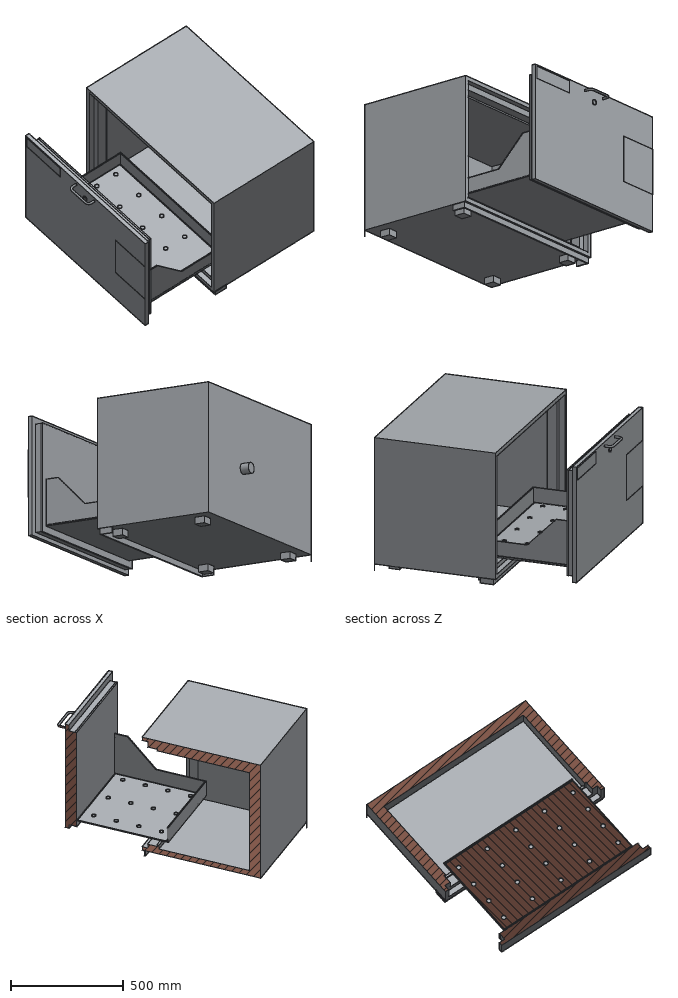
import cadquery as cq


CABINET_WIDTH = 893.0
CABINET_DEPTH = 577.0
CABINET_HEIGHT = 600.0
MID_X = CABINET_WIDTH / 2

DOOR_RECESS_MARGIN = 20.0
DOOR_RECESS_DEPTH = 27.0
PLUG_RECESS_MARGIN = 48.0
PLUG_RECESS_BOTTOM = 40.0
PLUG_RECESS_DEPTH = 46.0
INNER_MARGIN = 56.0
CHAMBER_FLOOR = 29.0
LIP_TOP = 49.0
LIP_DEPTH = 10.0
REAR_WALL = 56.0

PIPE_DIAMETER = 50.0
PIPE_LENGTH = 42.0
PIPE_X = MID_X + 146.0
PIPE_Z = 264.0

GROUND_CLEARANCE = 31.0
FOOT_SIZE = 50.0
FOOT_INSET = 76.0
CORNER_STRIP = 1.0

PLINTH_HEIGHT = 27.0
PLINTH_SIDE_INSET = 4.0
PLINTH_SETBACK = 10.0
PLINTH_RETURN = 64.0
PLINTH_SHEET = 6.0

DOOR_SIDE_GAP = 8.0
DOOR_LEFT = DOOR_RECESS_MARGIN + DOOR_SIDE_GAP
DOOR_WIDTH = CABINET_WIDTH - 2 * DOOR_LEFT
DOOR_BOTTOM = 24.0
DOOR_TOP = 572.0
DOOR_THICKNESS = 20.0
DOOR_FRONT_Y = -375.0
PLUG_LEFT = 58.0
PLUG_WIDTH = CABINET_WIDTH - 2 * PLUG_LEFT
PLUG_BOTTOM = 42.0
PLUG_TOP = 541.0
PLUG_THICKNESS = 29.0
PLUG_BACK_RIM = 1.0
PLUG_BACK_THICKNESS = 8.0
DOOR_REAR_Y = DOOR_FRONT_Y + DOOR_THICKNESS + PLUG_THICKNESS + PLUG_BACK_THICKNESS

LOCK_DIAMETER = 25.0
LOCK_HEIGHT = 4.0
LOCK_Z = 515.0

LABEL_THICKNESS = 1.0
NAME_LABEL_LEFT = 39.0
NAME_LABEL_WIDTH = 232.0
NAME_LABEL_BOTTOM = 507.0
NAME_LABEL_HEIGHT = 58.0
SAFETY_LABEL_LEFT = 658.0
SAFETY_LABEL_BOTTOM = 201.0
SAFETY_LABEL_HEIGHT = 217.0

HANDLE_DIAMETER = 10.3
HANDLE_SPAN = 127.0
HANDLE_REACH = 36.0
HANDLE_BEND_RADIUS = 18.0
HANDLE_Z = 552.0

DRAWER_LEFT = 86.0
DRAWER_WIDTH = CABINET_WIDTH - 2 * DRAWER_LEFT
DRAWER_BACK_Y = 126.0
DRAWER_BOTTOM = 73.0
DRAWER_SHEET = 5.0
LOW_WALL_TOP = 150.0
HIGH_WALL_TOP = 289.0
SLOPE_BACK_Y = -117.0
SLOPE_FRONT_Y = SLOPE_BACK_Y - (HIGH_WALL_TOP - LOW_WALL_TOP)

TRAY_SHEET = 3.0
TRAY_END_GAP = 4.0
HOLE_DIAMETER = 20.0
HOLE_COLUMNS = 5
HOLE_COLUMN_PITCH = 161.0
HOLE_ROWS = 4
HOLE_ROW_PITCH = 110.0


def box(x, y, z, width, depth, height):
    """Box whose lowest corner is at (x, y, z)."""
    return cq.Workplane("XY").box(width, depth, height, centered=False).translate((x, y, z))


def mouth_step(margin, bottom, start_y, end_y):
    """Rectangular cutter through the cabinet front, from start_y back to end_y."""
    return box(
        margin,
        start_y,
        bottom,
        CABINET_WIDTH - 2 * margin,
        end_y - start_y,
        CABINET_HEIGHT - margin - bottom,
    )


def make_cabinet():
    body = box(0, 0, 0, CABINET_WIDTH, CABINET_DEPTH, CABINET_HEIGHT)

    plug_recess_end = DOOR_RECESS_DEPTH + PLUG_RECESS_DEPTH
    lip_end = plug_recess_end + LIP_DEPTH
    body = body.cut(mouth_step(DOOR_RECESS_MARGIN, DOOR_RECESS_MARGIN, 0, DOOR_RECESS_DEPTH))
    body = body.cut(mouth_step(PLUG_RECESS_MARGIN, PLUG_RECESS_BOTTOM, DOOR_RECESS_DEPTH, plug_recess_end))
    body = body.cut(mouth_step(INNER_MARGIN, LIP_TOP, plug_recess_end, lip_end))
    body = body.cut(mouth_step(INNER_MARGIN, CHAMBER_FLOOR, lip_end, CABINET_DEPTH - REAR_WALL))

    pipe = (
        cq.Workplane("XZ", origin=(PIPE_X, CABINET_DEPTH, PIPE_Z))
        .circle(PIPE_DIAMETER / 2)
        .extrude(-PIPE_LENGTH)
    )
    body = body.union(pipe)

    feet = (
        cq.Workplane("XY", origin=(MID_X, CABINET_DEPTH / 2, 0))
        .rect(CABINET_WIDTH - 2 * FOOT_INSET, CABINET_DEPTH - 2 * FOOT_INSET, forConstruction=True)
        .vertices()
        .rect(FOOT_SIZE, FOOT_SIZE)
        .extrude(-GROUND_CLEARANCE)
    )
    body = body.union(feet)

    strip = box(
        0, CABINET_DEPTH - CORNER_STRIP, -GROUND_CLEARANCE, CORNER_STRIP, CORNER_STRIP, GROUND_CLEARANCE
    )
    return body.union(strip)


def make_plinth():
    """Front board with a return at each end, passing in front of the feet."""
    width = CABINET_WIDTH - 2 * PLINTH_SIDE_INSET
    board = box(PLINTH_SIDE_INSET, PLINTH_SETBACK, -PLINTH_HEIGHT, width, PLINTH_RETURN, PLINTH_HEIGHT)
    space_behind = box(
        PLINTH_SIDE_INSET + PLINTH_SHEET,
        PLINTH_SETBACK + PLINTH_SHEET,
        -PLINTH_HEIGHT,
        width - 2 * PLINTH_SHEET,
        PLINTH_RETURN,
        PLINTH_HEIGHT,
    )
    return board.cut(space_behind)


def make_door():
    panel = box(
        DOOR_LEFT, DOOR_FRONT_Y, DOOR_BOTTOM, DOOR_WIDTH, DOOR_THICKNESS, DOOR_TOP - DOOR_BOTTOM
    )
    plug_y = DOOR_FRONT_Y + DOOR_THICKNESS
    plug = box(PLUG_LEFT, plug_y, PLUG_BOTTOM, PLUG_WIDTH, PLUG_THICKNESS, PLUG_TOP - PLUG_BOTTOM)
    plug_back = box(
        PLUG_LEFT - PLUG_BACK_RIM,
        plug_y + PLUG_THICKNESS,
        PLUG_BOTTOM - PLUG_BACK_RIM,
        PLUG_WIDTH + 2 * PLUG_BACK_RIM,
        PLUG_BACK_THICKNESS,
        PLUG_TOP - PLUG_BOTTOM + 2 * PLUG_BACK_RIM,
    )
    lock = (
        cq.Workplane("XZ", origin=(MID_X, DOOR_FRONT_Y, LOCK_Z))
        .circle(LOCK_DIAMETER / 2)
        .extrude(LOCK_HEIGHT)
    )
    label_y = DOOR_FRONT_Y - LABEL_THICKNESS
    name_label = box(
        NAME_LABEL_LEFT, label_y, NAME_LABEL_BOTTOM, NAME_LABEL_WIDTH, LABEL_THICKNESS, NAME_LABEL_HEIGHT
    )
    safety_label = box(
        SAFETY_LABEL_LEFT,
        label_y,
        SAFETY_LABEL_BOTTOM,
        DOOR_LEFT + DOOR_WIDTH - SAFETY_LABEL_LEFT,
        LABEL_THICKNESS,
        SAFETY_LABEL_HEIGHT,
    )
    return panel.union(plug).union(plug_back).union(lock).union(name_label).union(safety_label)


def make_handle():
    """Round bar bent into a bow with rounded corners."""
    half_span = HANDLE_SPAN / 2
    centreline = (
        cq.Workplane("XY", origin=(MID_X, DOOR_FRONT_Y, HANDLE_Z))
        .moveTo(-half_span, 0)
        .lineTo(-half_span, HANDLE_BEND_RADIUS - HANDLE_REACH)
        .tangentArcPoint((HANDLE_BEND_RADIUS, -HANDLE_BEND_RADIUS))
        .lineTo(half_span - HANDLE_BEND_RADIUS, -HANDLE_REACH)
        .tangentArcPoint((HANDLE_BEND_RADIUS, HANDLE_BEND_RADIUS))
        .lineTo(half_span, 0)
    )
    return (
        cq.Workplane("XZ", origin=(MID_X - half_span, DOOR_FRONT_Y, HANDLE_Z))
        .circle(HANDLE_DIAMETER / 2)
        .sweep(centreline)
    )


def make_drawer():
    """Open-topped pan whose side walls rise towards the door, which closes its front."""
    body = (
        cq.Workplane("YZ", origin=(DRAWER_LEFT, 0, 0))
        .moveTo(DOOR_REAR_Y, DRAWER_BOTTOM)
        .lineTo(DRAWER_BACK_Y, DRAWER_BOTTOM)
        .lineTo(DRAWER_BACK_Y, LOW_WALL_TOP)
        .lineTo(SLOPE_BACK_Y, LOW_WALL_TOP)
        .lineTo(SLOPE_FRONT_Y, HIGH_WALL_TOP)
        .lineTo(DOOR_REAR_Y, HIGH_WALL_TOP)
        .close()
        .extrude(DRAWER_WIDTH)
    )
    inside = box(
        DRAWER_LEFT + DRAWER_SHEET,
        DOOR_REAR_Y,
        DRAWER_BOTTOM + DRAWER_SHEET,
        DRAWER_WIDTH - 2 * DRAWER_SHEET,
        DRAWER_BACK_Y - DRAWER_SHEET - DOOR_REAR_Y,
        HIGH_WALL_TOP,
    )
    return body.cut(inside)


def make_perforated_sheet():
    front_y = DOOR_REAR_Y + TRAY_END_GAP
    width = DRAWER_WIDTH - 2 * DRAWER_SHEET
    depth = DRAWER_BACK_Y - DRAWER_SHEET - TRAY_END_GAP - front_y
    floor_z = DRAWER_BOTTOM + DRAWER_SHEET
    sheet = box(DRAWER_LEFT + DRAWER_SHEET, front_y, floor_z, width, depth, TRAY_SHEET)
    holes = (
        cq.Workplane("XY", origin=(MID_X, front_y + depth / 2, floor_z))
        .rarray(HOLE_COLUMN_PITCH, HOLE_ROW_PITCH, HOLE_COLUMNS, HOLE_ROWS)
        .circle(HOLE_DIAMETER / 2)
        .extrude(TRAY_SHEET)
    )
    return sheet.cut(holes)


cabinet = make_cabinet()
plinth = make_plinth()
door = make_door()
handle = make_handle()
drawer = make_drawer()
perforated_sheet = make_perforated_sheet()

result = cq.Compound.makeCompound(
    [
        cabinet.val(),
        plinth.val(),
        door.val(),
        handle.val(),
        drawer.val(),
        perforated_sheet.val(),
    ]
)